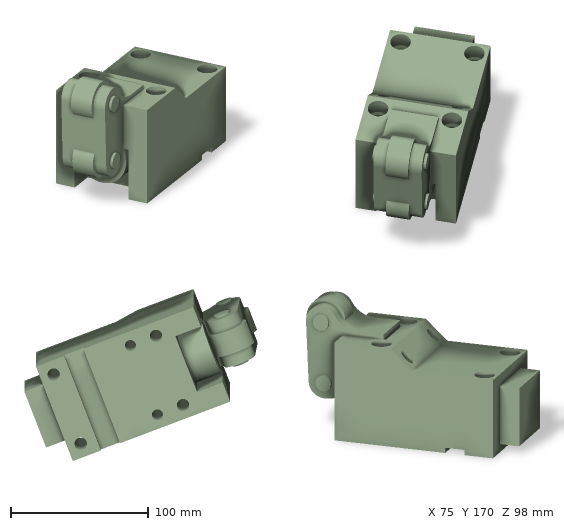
import cadquery as cq
import math


housing_width = 75
housing_length = 123
front_height = 75
rear_height = 60
ramp_start = 44
ramp_end = 60.5

rear_block_size = 44.5
rear_block_length = 15
rear_block_bottom = 6.25

groove_start = 86
groove_width = 15
groove_depth = 4

hole_spacing = 55
screw_hole_places = {33: front_height, 113: rear_height}
screw_diameter = 9
screw_head_diameter = 15
screw_head_depth = 12
dowel_hole_place = 53
dowel_diameter = 8.5
dowel_exit_diameter = 8
dowel_shoulder_height = 30

plunger_radius = 20
plunger_height = 28.75
plunger_flat_height = 44
plunger_length = 45

lever_slot_depth = 33
lever_slot_corner_radius = 1
plunger_slot_width = 44.5
plunger_slot_height = 40
plunger_slot_depth = 20

lever_width = 36
lever_tail_length = 31
lever_tail_top = 78.5
lobe_radius = 12
upper_blend_radius = 20
lower_blend_radius = 15

roller_radius = 15
roller_width = 17
pin_radius = 6
pin_length = 40

upper_out = 17
upper_height = 83
lower_out = roller_radius
lower_height = 36.5


def cylinder_along_x(radius, length, out, height):
    """Cylinder centred on X = 0 at a distance ahead of the front face."""
    return cq.Workplane("YZ").center(-out, height).circle(radius).extrude(length / 2, both=True)


def make_plunger():
    bar = (
        cq.Workplane("XZ")
        .center(0, plunger_height)
        .circle(plunger_radius)
        .extrude(-plunger_length)
    )
    below_flat = cq.Workplane("XY").box(
        2 * plunger_radius, plunger_length, plunger_flat_height, centered=(True, False, False)
    )
    return bar.intersect(below_flat)


def make_housing():
    body = (
        cq.Workplane("YZ")
        .moveTo(0, 0)
        .lineTo(0, front_height)
        .lineTo(ramp_start, front_height)
        .lineTo(ramp_end, rear_height)
        .lineTo(housing_length, rear_height)
        .lineTo(housing_length, 0)
        .close()
        .extrude(housing_width / 2, both=True)
    )
    rear_block = (
        cq.Workplane("XY")
        .box(rear_block_size, rear_block_length, rear_block_size, centered=(True, False, False))
        .translate((0, housing_length, rear_block_bottom))
    )
    body = body.union(rear_block)

    groove = (
        cq.Workplane("XY")
        .box(housing_width, groove_width, groove_depth, centered=(True, False, False))
        .translate((0, groove_start, 0))
    )
    body = body.cut(groove)

    lever_slot = (
        cq.Workplane("XY")
        .box(lever_width, lever_slot_depth, front_height - plunger_height, centered=(True, False, False))
        .edges("|Z and >Y")
        .fillet(lever_slot_corner_radius)
        .translate((0, 0, plunger_height))
    )
    plunger_slot = cq.Workplane("XY").box(
        plunger_slot_width, plunger_slot_depth, plunger_slot_height, centered=(True, False, False)
    )
    body = body.cut(lever_slot).cut(plunger_slot).cut(make_plunger())

    for side in (-1, 1):
        hole_x = side * hole_spacing / 2
        for distance, top_height in screw_hole_places.items():
            hole_top = cq.Workplane("XY", origin=(hole_x, distance, top_height))
            body = body.cut(hole_top.circle(screw_diameter / 2).extrude(-top_height))
            body = body.cut(hole_top.circle(screw_head_diameter / 2).extrude(-screw_head_depth))
        dowel_base = cq.Workplane("XY", origin=(hole_x, dowel_hole_place, 0))
        body = body.cut(dowel_base.circle(dowel_exit_diameter / 2).extrude(front_height))
        dowel_shoulder = dowel_base.workplane(offset=dowel_shoulder_height)
        body = body.cut(dowel_shoulder.circle(dowel_diameter / 2).extrude(front_height))
    return body


def polar(center, radius, angle):
    """Point on a circle, as (Y, Z)."""
    return (center[0] + radius * math.cos(angle), center[1] + radius * math.sin(angle))


def make_lever():
    upper_axis = (-upper_out, upper_height)
    lower_axis = (-lower_out, lower_height)

    blend_height = lever_tail_top + upper_blend_radius
    axis_distance = lobe_radius + upper_blend_radius
    blend_rise = blend_height - upper_height
    blend_run = math.sqrt(axis_distance**2 - blend_rise**2)
    blend_center = (blend_run - upper_out, blend_height)
    lobe_angle = math.atan2(blend_rise, blend_run)
    blend_start = (blend_center[0], lever_tail_top)
    blend_mid_angle = (lobe_angle + math.pi + 1.5 * math.pi) / 2
    blend_middle = polar(blend_center, upper_blend_radius, blend_mid_angle)
    blend_end = polar(upper_axis, lobe_radius, lobe_angle)

    front_angle = math.pi + math.atan2(upper_out - lower_out, upper_height - lower_height)

    lower_blend_center = (lobe_radius + lower_blend_radius - lower_out, lower_height)
    underside_angle = math.pi - math.asin((plunger_flat_height - lower_height) / lower_blend_radius)

    profile = (
        cq.Workplane("YZ")
        .moveTo(lever_tail_length, plunger_flat_height)
        .lineTo(lever_tail_length, lever_tail_top)
        .lineTo(*blend_start)
        .threePointArc(blend_middle, blend_end)
        .threePointArc(
            polar(upper_axis, lobe_radius, (lobe_angle + front_angle) / 2),
            polar(upper_axis, lobe_radius, front_angle),
        )
        .lineTo(*polar(lower_axis, lobe_radius, front_angle))
        .threePointArc(
            polar(lower_axis, lobe_radius, (front_angle + 2 * math.pi) / 2),
            polar(lower_axis, lobe_radius, 0),
        )
        .threePointArc(
            polar(lower_blend_center, lower_blend_radius, (math.pi + underside_angle) / 2),
            polar(lower_blend_center, lower_blend_radius, underside_angle),
        )
        .close()
    )
    lever = profile.extrude(lever_width / 2, both=True)

    for out, height in ((upper_out, upper_height), (lower_out, lower_height)):
        lever = lever.union(cylinder_along_x(roller_radius, roller_width, out, height))
        lever = lever.union(cylinder_along_x(pin_radius, pin_length, out, height))
    return lever


housing = make_housing()
plunger = make_plunger()
lever = make_lever()

result = cq.Compound.makeCompound([housing.val(), plunger.val(), lever.val()])